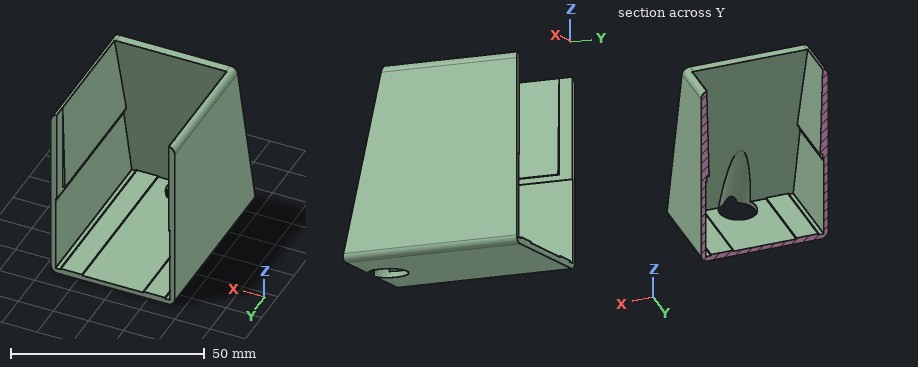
import cadquery as cq

width = 35.3
depth = 50.0
height = 51.0
top_depth = 38.35
corner_radius = 2.0

side_wall = 1.7
front_wall = 2.75
floor = 1.6

relief_depth = 0.3
relief_top = 23.8
rib_bottom = 25.35
rib_thickness = 0.65
rib_back_gap = 3.75

rail_outer_half = 14.9
rail_inner_half = 8.7
rail_height = 0.3

hole_radius = 5.0
hole_setback = 4.95
hole_tilt = 21.0
hole_reach = 25.5

front_slope = (depth - top_depth) / height
inner_half = width / 2 - side_wall


def leaning_block(half_width, z_min, z_max, inset):
    """Block from the open back to a plane lying inset behind the leaning front face."""
    profile = [
        (0, z_min),
        (-depth + inset + front_slope * z_min, z_min),
        (-depth + inset + front_slope * z_max, z_max),
        (0, z_max),
    ]
    return cq.Workplane("YZ").polyline(profile).close().extrude(half_width, both=True)


def make_body():
    """Solid envelope with rounded long edges and a leaning front face."""
    block = cq.Workplane("XY").box(width, depth, height, centered=(True, False, False))
    rounded = block.translate((0, -depth, 0)).edges("|Y").fillet(corner_radius)
    return rounded.intersect(leaning_block(width / 2, 0, height, 0))


def make_cavity():
    """Inside space, open at the back and top, wider in its lower part."""
    main = leaning_block(inner_half, floor, height, front_wall)
    relief = leaning_block(inner_half + relief_depth, floor, relief_top, front_wall)
    return main.union(relief)


def make_rails():
    """Pair of flat rails standing on the floor."""
    rail_top = floor + rail_height
    bed = leaning_block(rail_outer_half, floor, rail_top, front_wall)
    return bed.cut(leaning_block(rail_inner_half, floor, rail_top, front_wall))


def make_rib():
    """Wedge on the +X side wall, running forward into the front wall."""
    profile = [
        (inner_half, height),
        (inner_half - rib_thickness, rib_bottom),
        (inner_half, rib_bottom),
    ]
    wedge = cq.Workplane("XZ", origin=(0, -rib_back_gap, 0)).polyline(profile).close().extrude(depth)
    return wedge.intersect(make_body())


def make_hole():
    """Round cutter along the leaning axis, running well past the floor at both ends."""
    cutter = cq.Workplane("XY").circle(hole_radius).extrude(hole_reach, both=True)
    cutter = cutter.rotate((0, 0, 0), (1, 0, 0), -hole_tilt)
    return cutter.translate((0, -depth + hole_setback, 0))


rib = make_rib()
result = make_body().cut(make_cavity()).union(make_rails())
result = result.union(rib).union(rib.mirror("YZ"))
result = result.cut(make_hole())